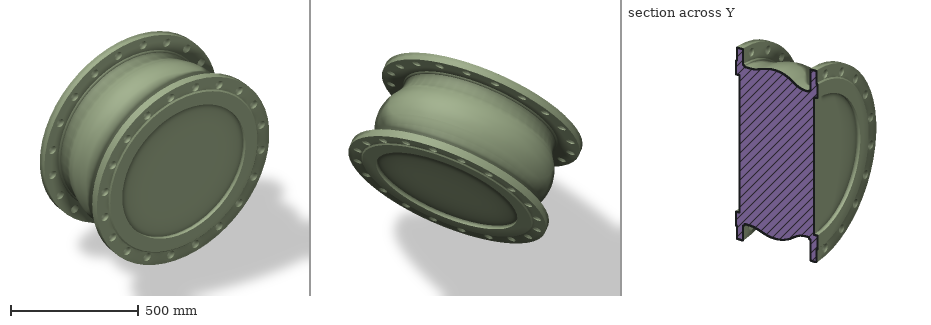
import cadquery as cq
import math

overall_length = 390.0
flange_radius = 840 / 2
flange_thickness = 31.0

raised_height = 5.0
raised_base_radius = 364.5
raised_end_radius = 359.0

recess_radius = 300.0
recess_depth = 17.0

bolt_count = 20
bolt_circle_radius = 770.0 / 2
bolt_hole_diameter = 36.0

left_neck_end = -127.0
cone_start = -93.0
cone_end = -57.0
crown_x = -10.0
swell_end = 79.0
right_neck_start = 139.5

right_neck_radius = 320.0
crown_radius = 370.5
swell_arc_radius = 148.0
root_fillet = 7.5

end_x = overall_length / 2
flange_outer_x = end_x - raised_height
flange_inner_x = flange_outer_x - flange_thickness

cone_angle = math.asin((crown_x - cone_end) / swell_arc_radius)
swell_end_angle = math.asin((swell_end - crown_x) / swell_arc_radius)

cone_end_radius = crown_radius - swell_arc_radius * (1 - math.cos(cone_angle))
cone_start_radius = cone_end_radius - (cone_end - cone_start) * math.tan(cone_angle)
left_neck_radius = cone_start_radius - (cone_start - left_neck_end) * math.tan(cone_angle / 2)
swell_end_radius = crown_radius - swell_arc_radius * (1 - math.cos(swell_end_angle))


def profile_point(x, radius):
    """Place a profile point on the -Y side of the axis."""
    return (x, -radius)


def make_body():
    """Revolve the swelling body with concave fillets running into both flanges."""
    profile = (
        cq.Workplane("XY")
        .moveTo(*profile_point(-flange_inner_x, 0))
        .lineTo(*profile_point(-flange_inner_x, left_neck_radius + root_fillet))
        .radiusArc(profile_point(-flange_inner_x + root_fillet, left_neck_radius), -root_fillet)
        .lineTo(*profile_point(left_neck_end, left_neck_radius))
        .tangentArcPoint(profile_point(cone_start, cone_start_radius), relative=False)
        .lineTo(*profile_point(cone_end, cone_end_radius))
        .threePointArc(
            profile_point(crown_x, crown_radius),
            profile_point(swell_end, swell_end_radius),
        )
        .tangentArcPoint(profile_point(right_neck_start, right_neck_radius), relative=False)
        .lineTo(*profile_point(flange_inner_x - root_fillet, right_neck_radius))
        .radiusArc(profile_point(flange_inner_x, right_neck_radius + root_fillet), -root_fillet)
        .lineTo(*profile_point(flange_inner_x, 0))
        .close()
    )
    return profile.revolve(360, (0, 0, 0), (1, 0, 0))


def make_flange():
    """Build the -X flange with its raised face, recess and bolt holes."""
    profile = (
        cq.Workplane("XY")
        .polyline([
            profile_point(-flange_inner_x, 0),
            profile_point(-flange_inner_x, flange_radius),
            profile_point(-flange_outer_x, flange_radius),
            profile_point(-flange_outer_x, raised_base_radius),
            profile_point(-end_x, raised_end_radius),
            profile_point(-end_x, recess_radius),
            profile_point(-end_x + recess_depth, recess_radius),
            profile_point(-end_x + recess_depth, 0),
        ])
        .close()
    )
    flange = profile.revolve(360, (0, 0, 0), (1, 0, 0))
    bolt_holes = (
        cq.Workplane("YZ", origin=(-flange_outer_x, 0, 0))
        .polarArray(bolt_circle_radius, 180 / bolt_count, 360, bolt_count)
        .circle(bolt_hole_diameter / 2)
        .extrude(flange_thickness)
    )
    return flange.cut(bolt_holes)


left_flange = make_flange()
right_flange = left_flange.mirror("YZ")
result = make_body().union(left_flange).union(right_flange)